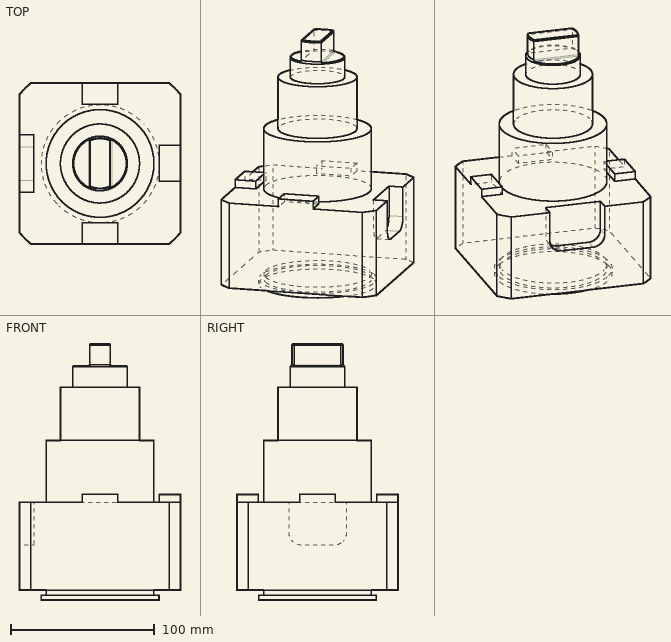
import cadquery as cq

BLOCK_SIDE = 112.0
CORNER_DIAMETER = 147.5
BLOCK_BOTTOM = 7.0
BLOCK_TOP = 68.0

FLANGE_DIAMETER = 82.0
FLANGE_THICKNESS = 3.5

LOWER_SHAFT_DIAMETER = 74.9
NECK_DIAMETER = LOWER_SHAFT_DIAMETER
LOWER_SHAFT_TOP = 111.0
MIDDLE_SHAFT_DIAMETER = 55.0
MIDDLE_SHAFT_TOP = 148.0
UPPER_SHAFT_DIAMETER = 38.0
TOTAL_HEIGHT = 178.0

TONGUE_DIAMETER = 35.5
TONGUE_THICKNESS = 14.5
TONGUE_FLOOR = 162.8
TAPER_BOTTOM = 162.0
TAPER_TOP = 163.5
TONGUE_CHAMFER_WIDTH = 0.5
TONGUE_CHAMFER_HEIGHT = 1.0
TONGUE_ROOT_FILLET = 0.8

LUG_WIDTH = 25.0
LUG_LENGTH = 15.0
LUG_HEIGHT = 5.5
LUG_DIRECTIONS = (0, 90, 270)

NOTCH_WIDTH = 40.0
NOTCH_DEPTH = 10.0
NOTCH_HEIGHT = 29.5
NOTCH_RADIUS = 8.5


def cylinder(diameter, bottom, top):
    return cq.Workplane("XY").workplane(offset=bottom).circle(diameter / 2).extrude(top - bottom)


def make_block():
    """Square block whose vertical corners are turned to a large diameter."""
    height = BLOCK_TOP - BLOCK_BOTTOM
    square = cq.Workplane("XY").workplane(offset=BLOCK_BOTTOM).rect(BLOCK_SIDE, BLOCK_SIDE).extrude(height)
    return square.intersect(cylinder(CORNER_DIAMETER, BLOCK_BOTTOM, BLOCK_TOP))


def make_notch():
    """Pocket in the -X side, open at the top, with rounded lower corners."""
    notch = cq.Workplane("XY").box(2 * NOTCH_DEPTH, NOTCH_WIDTH, NOTCH_HEIGHT, centered=(True, True, False))
    notch = notch.edges("|X and <Z").fillet(NOTCH_RADIUS)
    return notch.translate((-BLOCK_SIDE / 2, 0, BLOCK_TOP - NOTCH_HEIGHT))


def make_lug(direction):
    """Raised key on the block top, flush with one side face."""
    lug = cq.Workplane("XY").box(LUG_LENGTH, LUG_WIDTH, LUG_HEIGHT, centered=(True, True, False))
    lug = lug.translate(((BLOCK_SIDE - LUG_LENGTH) / 2, 0, BLOCK_TOP))
    return lug.rotate((0, 0, 0), (0, 0, 1), direction)


def make_upper_shaft():
    """Upper shaft with a conical shoulder and a flat-sided tongue at its end."""
    profile = [
        (0, MIDDLE_SHAFT_TOP),
        (UPPER_SHAFT_DIAMETER / 2, MIDDLE_SHAFT_TOP),
        (UPPER_SHAFT_DIAMETER / 2, TAPER_BOTTOM),
        (TONGUE_DIAMETER / 2, TAPER_TOP),
        (TONGUE_DIAMETER / 2, TOTAL_HEIGHT),
        (0, TOTAL_HEIGHT),
    ]
    shaft = cq.Workplane("XZ").polyline(profile).close().revolve(360, (0, 0, 0), (0, 1, 0))
    for side in (-1, 1):
        flat = cq.Workplane("XY").box(
            UPPER_SHAFT_DIAMETER,
            2 * UPPER_SHAFT_DIAMETER,
            2 * (TOTAL_HEIGHT - TONGUE_FLOOR),
            centered=(True, True, False),
        )
        inner_edge = "|Y and <Z and >X" if side < 0 else "|Y and <Z and <X"
        flat = flat.edges(inner_edge).fillet(TONGUE_ROOT_FILLET)
        offset = side * (TONGUE_THICKNESS + UPPER_SHAFT_DIAMETER) / 2
        shaft = shaft.cut(flat.translate((offset, 0, TONGUE_FLOOR)))
    return shaft.faces(">Z").edges().chamfer(TONGUE_CHAMFER_HEIGHT, TONGUE_CHAMFER_WIDTH)


result = make_block().cut(make_notch())
for lug_direction in LUG_DIRECTIONS:
    result = result.union(make_lug(lug_direction))
result = result.union(cylinder(FLANGE_DIAMETER, 0, FLANGE_THICKNESS))
result = result.union(cylinder(NECK_DIAMETER, FLANGE_THICKNESS, BLOCK_BOTTOM))
result = result.union(cylinder(LOWER_SHAFT_DIAMETER, BLOCK_TOP, LOWER_SHAFT_TOP))
result = result.union(cylinder(MIDDLE_SHAFT_DIAMETER, LOWER_SHAFT_TOP, MIDDLE_SHAFT_TOP))
result = result.union(make_upper_shaft())